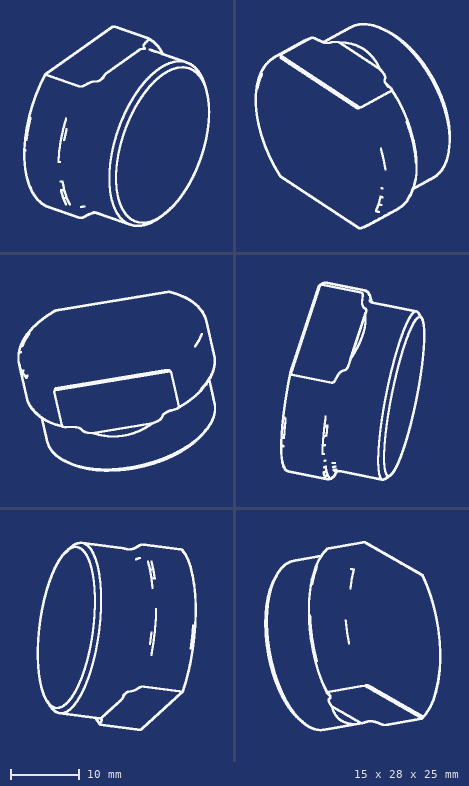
import cadquery as cq
import math

length = 15.0
body_radius = 25.0 / 2
head_radius = 14.0
body_start = 7.7

face_edge_radius = 0.5
shoulder_edge_radius = 0.4
shoulder_tilt = 15.0
neck_radius = 0.9
end_chamfer = 0.7

across_flats = 22.0
flat_length = 8.0
flat_corner_radius = 0.5
flat_wall_height = 0.7
flat_edge_chamfer = 0.2

cutter_clearance = 1.0


def arc_point(center, radius, angle):
    """Point on a circle, with the angle in degrees from +X."""
    turn = math.radians(angle)
    return (center[0] + radius * math.cos(turn), center[1] + radius * math.sin(turn))


def make_turned_body():
    """Head and body with rounded head edges, a tilted shoulder, a neck fillet and an end chamfer."""
    tilt = math.radians(shoulder_tilt)
    face_center = (face_edge_radius, head_radius - face_edge_radius)

    neck_center = (body_start, body_radius + neck_radius)
    neck_start = arc_point(neck_center, neck_radius, 180 + shoulder_tilt)
    neck_mid = arc_point(neck_center, neck_radius, 225 + shoulder_tilt / 2)

    edge_center_height = head_radius - shoulder_edge_radius
    edge_end_height = edge_center_height + shoulder_edge_radius * math.sin(tilt)
    edge_end_x = neck_start[0] - (edge_end_height - neck_start[1]) * math.tan(tilt)
    edge_center = (edge_end_x - shoulder_edge_radius * math.cos(tilt), edge_center_height)
    edge_mid = arc_point(edge_center, shoulder_edge_radius, 45 + shoulder_tilt / 2)

    profile = (
        cq.Workplane("XY")
        .moveTo(0, 0)
        .lineTo(0, face_center[1])
        .threePointArc(arc_point(face_center, face_edge_radius, 135), (face_edge_radius, head_radius))
        .lineTo(edge_center[0], head_radius)
        .threePointArc(edge_mid, (edge_end_x, edge_end_height))
        .lineTo(*neck_start)
        .threePointArc(neck_mid, (body_start, body_radius))
        .lineTo(length - end_chamfer, body_radius)
        .lineTo(length, body_radius - end_chamfer)
        .lineTo(length, 0)
        .close()
    )
    return profile.revolve(360, (0, 0, 0), (1, 0, 0))


def make_flat_cutter():
    """Prism along Y for the +Z flat: chamfered edge, filleted end wall and 45 degree run-out."""
    flat_height = across_flats / 2
    wall_top = flat_height + flat_wall_height
    cutter_top = head_radius + cutter_clearance
    corner_center = (flat_length - flat_corner_radius, flat_height + flat_corner_radius)
    profile = (
        cq.Workplane("XZ")
        .moveTo(0, cutter_top)
        .lineTo(0, flat_height - flat_edge_chamfer)
        .lineTo(flat_edge_chamfer, flat_height)
        .lineTo(corner_center[0], flat_height)
        .threePointArc(
            arc_point(corner_center, flat_corner_radius, -45),
            (flat_length, corner_center[1]),
        )
        .lineTo(flat_length, wall_top)
        .lineTo(flat_length + cutter_top - wall_top, cutter_top)
        .close()
    )
    return profile.extrude(head_radius, both=True)


top_cutter = make_flat_cutter()
bottom_cutter = top_cutter.mirror("XY")
result = make_turned_body().cut(top_cutter).cut(bottom_cutter)